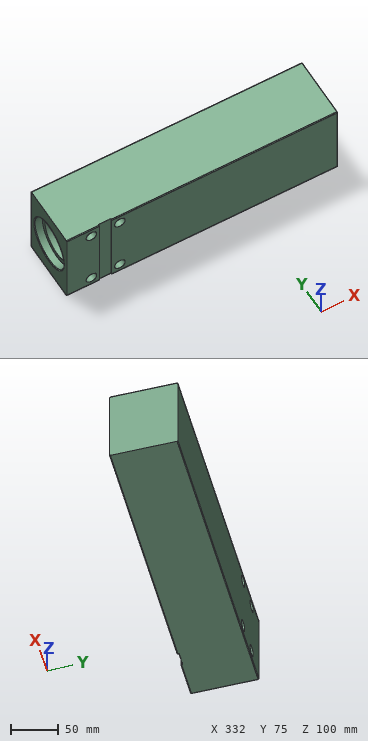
import cadquery as cq

length = 332.0
width = 75.0
height = 100.0
edge_chamfer = 1.0
mid_y = width / 2
mid_z = height / 2

bore_diameter = 50.0
bore_depth = 298.8
counterbore_diameter = 61.5
counterbore_depth = 10.0
mouth_chamfer = 1.0

keyway_start = 40.2
keyway_width = 15.0
keyway_depth = 2.0
keyway_middle = keyway_start + keyway_width / 2

bolt_diameter = 13.0
bolt_spacing_x = 35.0
bolt_spacing_z = 76.0

def make_block():
    """Rectangular block with its four long edges chamfered."""
    block = cq.Workplane("XY").box(length, width, height, centered=False)
    return block.edges("|X").chamfer(edge_chamfer)

def make_bore():
    """Solid of the stepped bore, with a flared mouth, turned about the X direction."""
    bore_radius = bore_diameter / 2
    counterbore_radius = counterbore_diameter / 2
    half_section = (
        cq.Workplane("XY", origin=(0, mid_y, mid_z))
        .lineTo(0, counterbore_radius + mouth_chamfer)
        .lineTo(mouth_chamfer, counterbore_radius)
        .lineTo(counterbore_depth, counterbore_radius)
        .lineTo(counterbore_depth, bore_radius)
        .lineTo(bore_depth, bore_radius)
        .lineTo(bore_depth, 0)
        .close()
    )
    return half_section.revolve(360, (0, 0, 0), (1, 0, 0))

def make_keyway():
    """Bar that cuts the keyway into the -Y side."""
    return (
        cq.Workplane("XY", origin=(keyway_middle, 0, 0))
        .rect(keyway_width, 2 * keyway_depth)
        .extrude(height)
    )

def make_bolt_holes():
    """Four cylinders running through the width."""
    return (
        cq.Workplane("XZ", origin=(keyway_middle, 0, mid_z))
        .rect(bolt_spacing_x, bolt_spacing_z, forConstruction=True)
        .vertices()
        .circle(bolt_diameter / 2)
        .extrude(-width)
    )

result = make_block().cut(make_bore()).cut(make_keyway()).cut(make_bolt_holes())